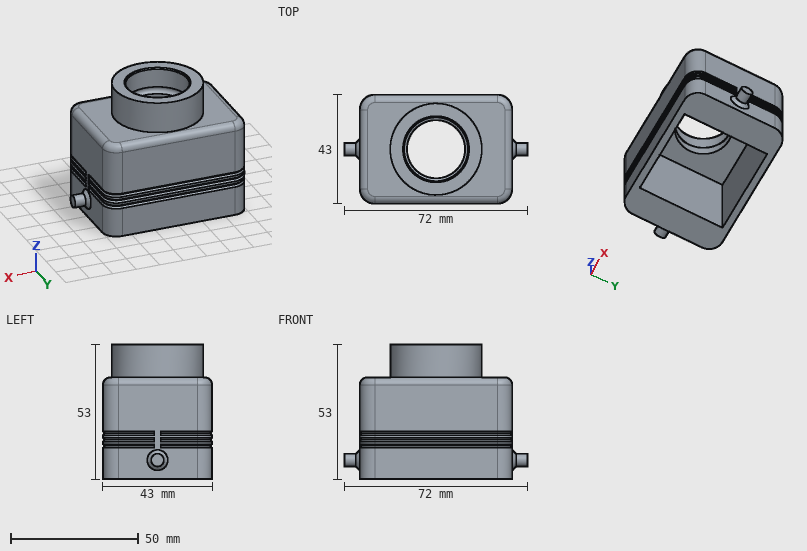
import cadquery as cq
import math

LENGTH = 60.0
WIDTH = 43.0
BODY_HEIGHT = 40.0
CORNER_RADIUS = 6.0
TOP_FILLET = 3.0

WALL = 3.0
POCKET_SIDE = WIDTH - 2 * WALL
POCKET_DEPTH = BODY_HEIGHT - WALL

NECK_RADIUS = 18.0
TOTAL_HEIGHT = 53.0
HOLE_RADIUS = 11.4
BORE_RADIUS = 12.5
BORE_DEPTH = 8.3
BORE_CHAMFER = 0.5
RELIEF_RADIUS = 1.5

GROOVE_WIDTH = 1.5
GROOVE_DEPTH = GROOVE_WIDTH / 2
GROOVE_PITCH = 2.5
GROOVE_COUNT = 3
LOWEST_GROOVE_Z = 13.0
GROOVE_GAP = 2.7

PIN_SPAN = 72.0
PIN_RADIUS = 2.5
PIN_Z = 7.5
PIN_FOOT_RADIUS = 4.0
PIN_FOOT_LENGTH = PIN_FOOT_RADIUS - PIN_RADIUS


def make_body():
    block = cq.Workplane("XY").rect(LENGTH, WIDTH).extrude(BODY_HEIGHT)
    body = block.edges("|Z").fillet(CORNER_RADIUS)
    return body.faces(">Z").edges().fillet(TOP_FILLET)


def make_groove(center_z):
    """Ring cutter with a 90 degree V section following the body outline."""
    waist = (
        cq.Workplane("XY")
        .sketch()
        .rect(LENGTH, WIDTH)
        .vertices()
        .fillet(CORNER_RADIUS)
        .finalize()
        .extrude(GROOVE_DEPTH, taper=45)
    )
    core = waist.translate((0, 0, -GROOVE_DEPTH))
    core = core.union(core.mirror("XY"))
    blank = cq.Workplane("XY").box(LENGTH + GROOVE_WIDTH, WIDTH + GROOVE_WIDTH, GROOVE_WIDTH)
    gap = cq.Workplane("XY").box(2 * LENGTH, GROOVE_GAP, GROOVE_WIDTH)
    return blank.cut(core).cut(gap).translate((0, 0, center_z))


def make_pin(side):
    """Pin on the end face at +X (side = 1) or -X (side = -1), rooted inside the wall."""
    face_x = LENGTH / 2
    root_x = face_x - WALL
    foot_end_x = face_x + PIN_FOOT_LENGTH
    tip_x = PIN_SPAN / 2
    return (
        cq.Workplane("XY")
        .moveTo(side * root_x, 0)
        .lineTo(side * root_x, PIN_FOOT_RADIUS)
        .lineTo(side * face_x, PIN_FOOT_RADIUS)
        .lineTo(side * foot_end_x, PIN_RADIUS)
        .lineTo(side * tip_x, PIN_RADIUS)
        .lineTo(side * tip_x, 0)
        .close()
        .revolve(360, (0, 0, 0), (1, 0, 0))
        .translate((0, 0, PIN_Z))
    )


def make_entry_bore():
    """Chamfered bore ending in a round relief groove, then the through hole into the pocket."""
    bore_end_z = TOTAL_HEIGHT - BORE_DEPTH
    start_angle = math.acos((BORE_RADIUS - HOLE_RADIUS) / RELIEF_RADIUS)
    relief_z = bore_end_z - RELIEF_RADIUS * math.sin(start_angle)
    return (
        cq.Workplane("XZ")
        .moveTo(0, TOTAL_HEIGHT)
        .lineTo(BORE_RADIUS + BORE_CHAMFER, TOTAL_HEIGHT)
        .lineTo(BORE_RADIUS, TOTAL_HEIGHT - BORE_CHAMFER)
        .lineTo(BORE_RADIUS, bore_end_z)
        .threePointArc(
            (HOLE_RADIUS + RELIEF_RADIUS, relief_z),
            (HOLE_RADIUS, relief_z - RELIEF_RADIUS),
        )
        .lineTo(HOLE_RADIUS, POCKET_DEPTH / 2)
        .lineTo(0, POCKET_DEPTH / 2)
        .close()
        .revolve(360, (0, 0, 0), (0, 1, 0))
    )


hood = make_body()
for groove_index in range(GROOVE_COUNT):
    hood = hood.cut(make_groove(LOWEST_GROOVE_Z + groove_index * GROOVE_PITCH))

neck = (
    cq.Workplane("XY")
    .workplane(offset=POCKET_DEPTH)
    .circle(NECK_RADIUS)
    .extrude(TOTAL_HEIGHT - POCKET_DEPTH)
)
hood = hood.union(neck)
for pin_side in (-1, 1):
    hood = hood.union(make_pin(pin_side))

pocket = cq.Workplane("XY").rect(POCKET_SIDE, POCKET_SIDE).extrude(POCKET_DEPTH)
result = hood.cut(pocket).cut(make_entry_bore())